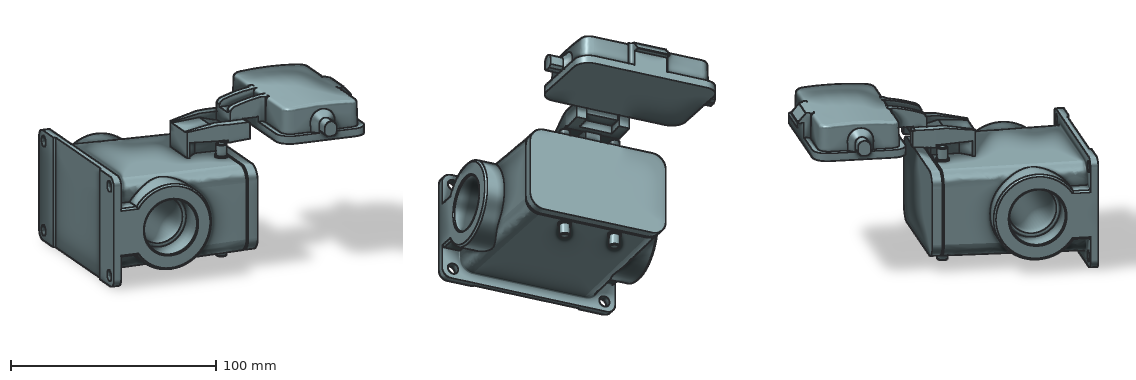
import cadquery as cq
import math


PLATE_LENGTH = 94.0
PLATE_HEIGHT = 56.0
PLATE_THICKNESS = 3.9
PLATE_CORNER = 4.7
RELIEF_DEPTH = 1.0
RELIEF_HALF_WIDTH = 28.2
SCREW_X = 41.1
SCREW_Z = 22.7
SCREW_DIAMETER = 5.5

BASE_WIDTH = 75.2
BASE_HEIGHT = 45.5
SHOULDER_WIDTH = 73.0
SHOULDER_HEIGHT = 43.6
BODY_CORNER = 7.4
SHOULDER_Y = 74.6
GROOVE_WIDTH = 0.8
GROOVE_DEPTH = 0.3
MOUTH_Y = 80.5
MOUTH_WIDTH = 73.6
MOUTH_HEIGHT = 43.2
ROOT_FILLET = 0.7

ENTRY_Y = 30.2
ENTRY_RADIUS = 21.7
ENTRY_CHAMFER = 1.0
WEB_HEIGHT = 24.6
BORE_DIAMETER = 27.8
BORE_DEPTH = 14.0
BORE_CHAMFER = 0.6
PASSAGE_DIAMETER = 24.0

PIN_X = 13.5
PIN_Y = 71.0
PIN_RADIUS = 2.65
PIN_TIP_Z = 28.6
PIN_CHAMFER = 0.5
COLLAR_RADIUS = 3.3
COLLAR_Z = 22.6

CHEEK_HALF_WIDTH = 14.3
BRACKET_FRONT_HALF_WIDTH = 10.6
BRACKET_FRONT_Y = 54.1
BRACKET_BEND_Y = 69.2
BRACKET_BACK_Y = 85.9
BRACKET_TOP_Z = 37.8
BRACKET_FRONT_TOP_Z = 35.2
BRACKET_UNDERSIDE_Z = 29.8
CHEEK_BACK_UNDERSIDE_Z = 29.3
CHEEK_LOW_Z = 28.5
CHEEK_STEP_Y = 74.2
CHEEK_BEVEL_Y = 84.7
CHEEK_BEVEL_Z = 37.4
BRACKET_SKIRT = 1.4
BODY_SINK_Z = 20.0
FLOOR_RIDGE_Z = 35.8
FLOOR_FRONT_Z = 34.7
FLOOR_DIP_Y = 76.6
FLOOR_DIP_Z = 33.6
FLOOR_RIDGE_Y = 68.7
POST_BACK_Y = 75.0
POST_TAPER_Y = 60.8
POST_HALF_WIDTH = 4.0

ARM_HALF_WIDTH = 8.7
ARM_END_Y = 77.8
ARM_UNDERSIDE_Z = 38.1
ARM_NOSE_Z = 44.8
ARM_NOSE_RADIUS = 2.5
ARM_CHANNEL_HALF_WIDTH = 5.0
ARM_CHANNEL_FLOOR_Z = 41.1
KNUCKLE_BACK_Y = 84.5
KNUCKLE_BOTTOM_Z = 33.0

COVER_Y = 115.7
COVER_TOP_Z = 49.54
COVER_BOTTOM_Z = 31.6
RIM_TOP_Z = 35.6
RIM_WIDTH = 75.6
RIM_DEPTH = 46.2
RIM_CORNER = 7.5
DOME_WIDTH = 69.2
DOME_DEPTH = 40.4
DOME_CORNER = 5.2
DOME_DRAFT = 2.0
DOME_FILLET = 1.9
CROWN_RADIUS = 165.0
LATCH_TIP_Y = 141.82
LATCH_UNDERSIDE_Z = 43.1
LATCH_LIP = 0.5
LATCH_TOP_Y = 137.7
BLEND_DEPTH = 2.0
PEG_TIP_X = 44.7
PEG_WIDTH = 6.4
PEG_TOP_Z = 43.1
PEG_CHAMFER = 1.4
CONE_RADIUS = 6.3
CONE_ROOT = 0.9


def box(x_half, y_min, y_max, z_min, z_max):
    return cq.Workplane("XY").box(
        2 * x_half, y_max - y_min, z_max - z_min, centered=(True, False, False)
    ).translate((0, y_min, z_min))


def across(points, half_width):
    """Profile given as (y, z) points, extruded symmetrically along X."""
    return cq.Workplane("YZ").polyline(points).close().extrude(half_width, both=True)


def section(offset, width, height):
    """Rounded rectangle lying at an offset along the XZ plane normal, which points to -Y."""
    sketch = cq.Sketch().rect(width, height).vertices().fillet(BODY_CORNER)
    return sketch.moved(cq.Location(cq.Vector(0, 0, offset)))


def straight_section(y_min, y_max, width, height):
    return cq.Workplane("XZ").placeSketch(section(-y_min, width, height)).extrude(y_min - y_max)


def both_ends(shape):
    """The shape together with its mirror image across X = 0."""
    return shape.union(shape.mirror("YZ"))


def mounting_plate():
    plate = cq.Workplane("XZ").rect(PLATE_LENGTH, PLATE_HEIGHT).extrude(-PLATE_THICKNESS)
    return plate.edges("|Y").fillet(PLATE_CORNER)


def housing_body():
    """Drafted block from the plate to the shoulder, then the mouth band."""
    taper = (
        cq.Workplane("XZ")
        .placeSketch(
            section(-PLATE_THICKNESS, BASE_WIDTH, BASE_HEIGHT),
            section(-SHOULDER_Y, SHOULDER_WIDTH, SHOULDER_HEIGHT),
        )
        .loft()
    )
    band_y = SHOULDER_Y + GROOVE_WIDTH
    neck_width = SHOULDER_WIDTH - 2 * GROOVE_DEPTH
    neck_height = SHOULDER_HEIGHT - 2 * GROOVE_DEPTH
    neck = straight_section(SHOULDER_Y, band_y, neck_width, neck_height)
    band = straight_section(band_y, MOUTH_Y, MOUTH_WIDTH, MOUTH_HEIGHT)
    return taper.union(neck).union(band)


def cable_entries():
    """Round boss through the housing with a web tying it to the plate."""
    half = PLATE_LENGTH / 2
    boss = cq.Workplane("YZ").center(ENTRY_Y, 0).circle(ENTRY_RADIUS).extrude(half, both=True)
    web = box(half, PLATE_THICKNESS / 2, ENTRY_Y, -WEB_HEIGHT / 2, WEB_HEIGHT / 2)
    return boss.union(web).faces("<X or >X").chamfer(ENTRY_CHAMFER)


def entry_bore():
    half = PLATE_LENGTH / 2
    passage = (
        cq.Workplane("YZ").center(ENTRY_Y, 0)
        .circle(PASSAGE_DIAMETER / 2).extrude(half, both=True)
    )
    radius = BORE_DIAMETER / 2
    counterbore = (
        cq.Workplane("XY", origin=(0, ENTRY_Y, 0))
        .polyline([
            (half, 0),
            (half, radius + BORE_CHAMFER),
            (half - BORE_CHAMFER, radius),
            (half - BORE_DEPTH, radius),
            (half - BORE_DEPTH, 0),
        ])
        .close()
        .revolve(360, (0, 0, 0), (1, 0, 0))
    )
    return passage.union(both_ends(counterbore))


def plate_cuts():
    """Shallow relief across the mounting face and the four screw holes."""
    mouth = RELIEF_HALF_WIDTH + RELIEF_DEPTH
    relief = (
        cq.Workplane("XY")
        .polyline([
            (-mouth, 0),
            (mouth, 0),
            (RELIEF_HALF_WIDTH, RELIEF_DEPTH),
            (-RELIEF_HALF_WIDTH, RELIEF_DEPTH),
        ])
        .close()
        .extrude(PLATE_HEIGHT / 2, both=True)
    )
    screws = (
        cq.Workplane("XZ")
        .rect(2 * SCREW_X, 2 * SCREW_Z, forConstruction=True)
        .vertices()
        .circle(SCREW_DIAMETER / 2)
        .extrude(-PLATE_THICKNESS)
    )
    return relief.union(screws)


def locking_pins():
    """Two pins on the top face and two on the bottom face."""
    pin = (
        cq.Workplane("XY", origin=(PIN_X, PIN_Y, BODY_SINK_Z))
        .circle(PIN_RADIUS).extrude(PIN_TIP_Z - BODY_SINK_Z)
        .faces(">Z").chamfer(PIN_CHAMFER)
    )
    collar = (
        cq.Workplane("XY", origin=(PIN_X, PIN_Y, BODY_SINK_Z))
        .circle(COLLAR_RADIUS).extrude(COLLAR_Z - BODY_SINK_Z)
    )
    pair = both_ends(pin.union(collar))
    return pair.union(pair.mirror("XY"))


def hinge_bracket():
    """Forked bracket standing on the housing by a post and a front skirt."""
    skirt_y = BRACKET_FRONT_Y + BRACKET_SKIRT
    gusset_half_width = POST_HALF_WIDTH + POST_TAPER_Y - skirt_y
    side = across(
        [
            (BRACKET_FRONT_Y, BODY_SINK_Z),
            (BRACKET_FRONT_Y, BRACKET_FRONT_TOP_Z),
            (BRACKET_BEND_Y, BRACKET_TOP_Z),
            (CHEEK_BEVEL_Y, BRACKET_TOP_Z),
            (BRACKET_BACK_Y, CHEEK_BEVEL_Z),
            (BRACKET_BACK_Y, CHEEK_BACK_UNDERSIDE_Z),
            (CHEEK_STEP_Y, CHEEK_LOW_Z),
            (CHEEK_STEP_Y, BRACKET_UNDERSIDE_Z),
            (skirt_y, BRACKET_UNDERSIDE_Z),
            (skirt_y, BODY_SINK_Z),
        ],
        CHEEK_HALF_WIDTH,
    )
    plan = (
        cq.Workplane("XY")
        .polyline([
            (-BRACKET_FRONT_HALF_WIDTH, BRACKET_FRONT_Y),
            (BRACKET_FRONT_HALF_WIDTH, BRACKET_FRONT_Y),
            (CHEEK_HALF_WIDTH, CHEEK_STEP_Y),
            (CHEEK_HALF_WIDTH, BRACKET_BACK_Y),
            (-CHEEK_HALF_WIDTH, BRACKET_BACK_Y),
            (-CHEEK_HALF_WIDTH, CHEEK_STEP_Y),
        ])
        .close()
        .extrude(BRACKET_TOP_Z)
    )
    slot = across(
        [
            (BRACKET_FRONT_Y, FLOOR_FRONT_Z),
            (FLOOR_RIDGE_Y, FLOOR_RIDGE_Z),
            (FLOOR_DIP_Y, FLOOR_DIP_Z),
            (ARM_END_Y, FLOOR_DIP_Z),
            (ARM_END_Y, BODY_SINK_Z),
            (BRACKET_BACK_Y, BODY_SINK_Z),
            (BRACKET_BACK_Y, BRACKET_TOP_Z),
            (BRACKET_FRONT_Y, BRACKET_TOP_Z),
        ],
        ARM_HALF_WIDTH,
    )
    post = (
        cq.Workplane("XY", origin=(0, 0, BODY_SINK_Z))
        .polyline([
            (-gusset_half_width, skirt_y),
            (gusset_half_width, skirt_y),
            (POST_HALF_WIDTH, POST_TAPER_Y),
            (POST_HALF_WIDTH, POST_BACK_Y),
            (-POST_HALF_WIDTH, POST_BACK_Y),
            (-POST_HALF_WIDTH, POST_TAPER_Y),
        ])
        .close()
        .extrude(BRACKET_UNDERSIDE_Z - BODY_SINK_Z)
    )
    return side.intersect(plan).cut(slot).union(post)


def crown_z(y):
    """Height of the arched cover top at a given Y."""
    drop = CROWN_RADIUS - math.sqrt(CROWN_RADIUS**2 - (y - COVER_Y) ** 2)
    return COVER_TOP_Z - drop


def crown_cylinder():
    return (
        cq.Workplane("YZ")
        .center(COVER_Y, COVER_TOP_Z - CROWN_RADIUS)
        .circle(CROWN_RADIUS)
        .extrude(DOME_WIDTH, both=True)
    )


def cover_rim():
    rim = cq.Workplane("XY", origin=(0, COVER_Y, COVER_BOTTOM_Z))
    rim = rim.rect(RIM_WIDTH, RIM_DEPTH).extrude(RIM_TOP_Z - COVER_BOTTOM_Z)
    return rim.edges("|Z").fillet(RIM_CORNER)


def cover_dome():
    """Drafted box with an arched, filleted top."""
    dome = (
        cq.Workplane("XY", origin=(0, COVER_Y, RIM_TOP_Z))
        .sketch().rect(DOME_WIDTH, DOME_DEPTH).vertices().fillet(DOME_CORNER).finalize()
        .extrude(COVER_TOP_Z - RIM_TOP_Z, taper=DOME_DRAFT)
    )
    dome = dome.intersect(crown_cylinder())
    return dome.faces(">Z").edges().fillet(DOME_FILLET)


def latch_tab():
    """Hooked tab on the far side of the cover."""
    rim_y = COVER_Y + RIM_DEPTH / 2
    tab = across(
        [
            (COVER_Y, COVER_BOTTOM_Z),
            (rim_y, COVER_BOTTOM_Z),
            (rim_y, LATCH_UNDERSIDE_Z),
            (LATCH_TIP_Y, LATCH_UNDERSIDE_Z),
            (LATCH_TIP_Y, LATCH_UNDERSIDE_Z + LATCH_LIP),
            (LATCH_TOP_Y, crown_z(LATCH_TOP_Y)),
            (LATCH_TOP_Y, COVER_TOP_Z),
            (COVER_Y, COVER_TOP_Z),
        ],
        ARM_HALF_WIDTH,
    )
    return tab.intersect(crown_cylinder())


def wall_blends():
    """Concave corner fillings where the tab and the arm leave the cover walls."""
    inner_y = DOME_DEPTH / 2 - DOME_FILLET
    wall_y = DOME_DEPTH / 2
    tip_y = wall_y + BLEND_DEPTH
    blend = (
        cq.Workplane("XY", origin=(0, COVER_Y, RIM_TOP_Z))
        .moveTo(0, inner_y)
        .lineTo(ARM_HALF_WIDTH + BLEND_DEPTH, inner_y)
        .lineTo(ARM_HALF_WIDTH + BLEND_DEPTH, wall_y)
        .radiusArc((ARM_HALF_WIDTH, tip_y), BLEND_DEPTH)
        .lineTo(0, tip_y)
        .close()
        .extrude(COVER_TOP_Z - RIM_TOP_Z)
    )
    blend = both_ends(blend)
    arm_blend = blend.mirror("XZ", (0, COVER_Y, 0)).cut(arm_channel())
    arm_blend = arm_blend.intersect(arm_profile(ARM_HALF_WIDTH + BLEND_DEPTH))
    return blend.intersect(crown_cylinder()).union(arm_blend)


def arm_profile(half_width):
    """Side outline of the hinge arm, extruded symmetrically along X."""
    root_y = COVER_Y - DOME_DEPTH / 2
    nose_y = ARM_END_Y + ARM_NOSE_RADIUS
    return (
        cq.Workplane("YZ")
        .moveTo(COVER_Y, COVER_BOTTOM_Z)
        .lineTo(COVER_Y, COVER_TOP_Z)
        .radiusArc((root_y, crown_z(root_y)), -CROWN_RADIUS)
        .tangentArcPoint((nose_y, ARM_NOSE_Z), relative=False)
        .tangentArcPoint((ARM_END_Y, ARM_NOSE_Z - ARM_NOSE_RADIUS), relative=False)
        .lineTo(ARM_END_Y, KNUCKLE_BOTTOM_Z)
        .lineTo(KNUCKLE_BACK_Y, KNUCKLE_BOTTOM_Z)
        .lineTo(KNUCKLE_BACK_Y, ARM_UNDERSIDE_Z)
        .lineTo(COVER_Y - RIM_DEPTH / 2, ARM_UNDERSIDE_Z)
        .lineTo(COVER_Y - RIM_DEPTH / 2, COVER_BOTTOM_Z)
        .close()
        .extrude(half_width, both=True)
    )


def arm_channel():
    return box(ARM_CHANNEL_HALF_WIDTH, ARM_END_Y, COVER_Y, ARM_CHANNEL_FLOOR_Z, COVER_TOP_Z)


def hinge_arm():
    """Arm with a channel along its top, ending in a knuckle in the bracket fork."""
    return arm_profile(ARM_HALF_WIDTH).cut(arm_channel())


def side_pegs():
    """Arched pegs on the short sides, each rising from a flared root on the wall."""
    peg_radius = PEG_WIDTH / 2
    axis_z = PEG_TOP_Z - peg_radius
    rim_x = RIM_WIDTH / 2
    wall_x = DOME_WIDTH / 2

    def arch(x, radius):
        return (
            cq.Workplane("YZ", origin=(x, COVER_Y, 0))
            .moveTo(-radius, RIM_TOP_Z)
            .lineTo(-radius, axis_z)
            .threePointArc((0, axis_z + radius), (radius, axis_z))
            .lineTo(radius, RIM_TOP_Z)
            .close()
        )

    peg = arch(0, peg_radius).extrude(PEG_TIP_X).edges("|X and <Z").chamfer(PEG_CHAMFER)
    cone = cq.Workplane(
        cq.Solid.makeLoft([
            arch(wall_x - CONE_ROOT, CONE_RADIUS + CONE_ROOT).val(),
            arch(rim_x, peg_radius).val(),
        ], True)
    )
    return both_ends(peg.union(cone))


def cover():
    shell = cover_rim().union(cover_dome()).union(latch_tab()).union(wall_blends())
    return shell.union(hinge_arm()).union(side_pegs())


def housing():
    """Plate, body and cable entries, with the inside corner at the plate filleted."""
    solid = mounting_plate().union(housing_body()).union(cable_entries())
    reach_x = PLATE_LENGTH / 2 - ENTRY_CHAMFER
    reach_z = BASE_HEIGHT / 2 + ROOT_FILLET
    inside_corner = cq.selectors.BoxSelector(
        (-reach_x, PLATE_THICKNESS - ROOT_FILLET, -reach_z),
        (reach_x, PLATE_THICKNESS + ROOT_FILLET, reach_z),
        boundingbox=True,
    )
    solid = solid.edges(inside_corner).fillet(ROOT_FILLET)
    return solid.cut(entry_bore()).cut(plate_cuts())


result = housing().union(locking_pins()).union(hinge_bracket()).union(cover())